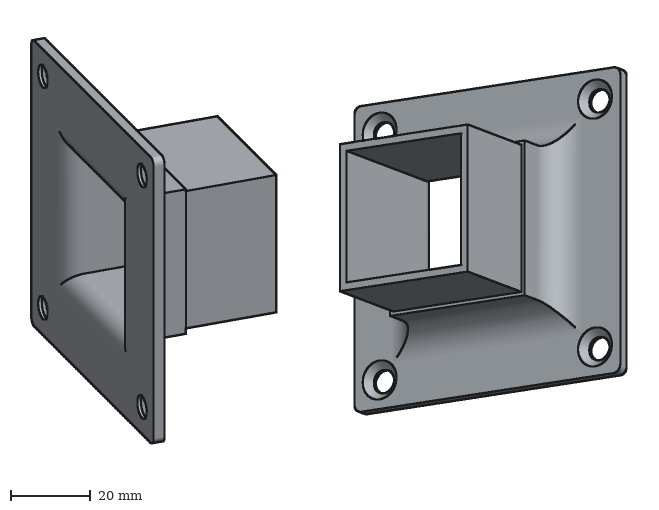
import cadquery as cq
import math

plate_side = 79
plate_thickness = 3.0
corner_radius = 2.0
hole_diameter = 6.0
hole_spacing = 64
countersink_diameter = 10.0
countersink_angle = 90

tube_side = 38.0
collar_side = 40.0
bore_side = 34
total_depth = 42.0
collar_length = 6.0
flare_radius = 8.0
mouth_radius = 5.0

flare_end = plate_thickness + flare_radius
collar_end = flare_end + collar_length


def square_block(side, start, end):
    """Square block centred on the Y axis between two depths."""
    return cq.Workplane("XY").box(side, end - start, side).translate((0, (start + end) / 2, 0))


def mitred_flare(neck_side, start, radius):
    """Square solid widening towards the plate along a quarter arc, with mitred corners.

    It is the overlap of two identical extrusions at right angles.
    The walls are tangent to the neck at the far end and to the plate at the start.
    """
    neck = neck_side / 2
    base = neck + radius
    end = start + radius
    arc_middle = radius * math.sin(math.pi / 4)
    mid_x = base - arc_middle
    mid_y = end - arc_middle
    profile = (
        cq.Workplane("XY")
        .moveTo(-base, start)
        .lineTo(base, start)
        .threePointArc((mid_x, mid_y), (neck, end))
        .lineTo(-neck, end)
        .threePointArc((-mid_x, mid_y), (-base, start))
        .close()
        .extrude(base, both=True)
    )
    turned = profile.rotate((0, 0, 0), (0, 1, 0), 90)
    return profile.intersect(turned)


def mounting_plate():
    """Plate with rounded corners and four fixing holes, countersunk from the back."""
    plate = square_block(plate_side, 0, plate_thickness).edges("|Y").fillet(corner_radius)
    return (
        plate.faces(">Y")
        .workplane(centerOption="CenterOfBoundBox")
        .rect(hole_spacing, hole_spacing, forConstruction=True)
        .vertices()
        .cskHole(hole_diameter, countersink_diameter, countersink_angle)
    )


flare = mitred_flare(collar_side, plate_thickness, flare_radius)
collar = square_block(collar_side, flare_end, collar_end)
tube = square_block(tube_side, collar_end, total_depth)
body = mounting_plate().union(flare).union(collar).union(tube)

bore = square_block(bore_side, 0, total_depth)
mouth = mitred_flare(bore_side, 0, mouth_radius)
result = body.cut(bore).cut(mouth)